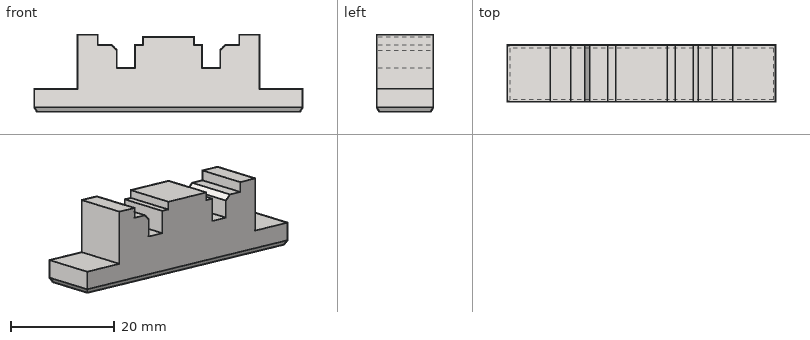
import cadquery as cq

length = 52.0
depth = 11.0
height = 15.0

base_height = 4.45
chamfer_rise = 0.95
chamfer_inset = 0.5

tower_half = 17.65
ear_inner_half = 13.7
slot_outer_half = 10.0
slot_inner_half = 6.5
crown_half = 4.95

shelf_height = 13.0
slot_floor = 8.55
crown_height = 14.55
slot_lip_chamfer = 1.05


def base_bar():
    """Bar whose four bottom edges are bevelled."""
    bevel = (
        cq.Workplane("XY")
        .rect(length - 2 * chamfer_inset, depth - 2 * chamfer_inset)
        .workplane(offset=chamfer_rise)
        .rect(length, depth)
        .loft(ruled=True)
    )
    upper = (
        cq.Workplane("XY", origin=(0, 0, chamfer_rise))
        .box(length, depth, base_height - chamfer_rise, centered=(True, True, False))
    )
    return upper.union(bevel)


def upright():
    """Symmetric stepped profile with two slots, extruded through the depth."""
    right_side = [
        (tower_half, base_height),
        (tower_half, height),
        (ear_inner_half, height),
        (ear_inner_half, shelf_height),
        (slot_outer_half + slot_lip_chamfer, shelf_height),
        (slot_outer_half, shelf_height - slot_lip_chamfer),
        (slot_outer_half, slot_floor),
        (slot_inner_half, slot_floor),
        (slot_inner_half, shelf_height),
        (crown_half, shelf_height),
        (crown_half, crown_height),
    ]
    left_side = [(-x, z) for x, z in reversed(right_side)]
    return (
        cq.Workplane("XZ")
        .polyline(right_side + left_side)
        .close()
        .extrude(depth / 2, both=True)
    )


result = base_bar().union(upright())